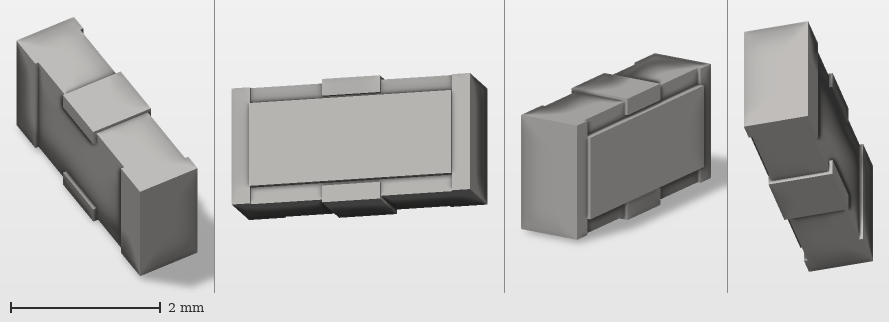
import cadquery as cq

LENGTH = 3.3
DEPTH = 0.94
HEIGHT = 1.7

METAL = 0.05
COATING_STEP = 0.05

END_FRONT_FLANGE = 0.508
END_REAR_FLANGE = 0.25

SIDE_WIDTH = 0.805
SIDE_FLANGE = 0.23

COATING_HEIGHT = 1.142

CORE_LENGTH = LENGTH - 2 * METAL
CORE_DEPTH = DEPTH - 2 * METAL - COATING_STEP
CORE_HEIGHT = HEIGHT - 2 * METAL

COATING_LENGTH = LENGTH - 2 * END_REAR_FLANGE
COATING_THICKNESS = METAL + COATING_STEP

TERMINAL_DEPTH = CORE_DEPTH + 2 * METAL
CORE_REAR = CORE_DEPTH / 2
TERMINAL_REAR = TERMINAL_DEPTH / 2


def make_core():
    return cq.Workplane("XY").box(CORE_LENGTH, CORE_DEPTH, CORE_HEIGHT)


def make_coating():
    """Flat protective layer on the rear (+Y) face of the core."""
    return cq.Workplane("XY").box(COATING_LENGTH, COATING_THICKNESS, COATING_HEIGHT).translate(
        (0, CORE_REAR + COATING_THICKNESS / 2, 0)
    )


def channel_profile(plane, outer, front_flange, rear_flange):
    """C-shaped outline opening toward the core, drawn as (outward distance, Y)."""
    inner = outer - METAL
    front_tip = outer - front_flange
    rear_tip = outer - rear_flange
    return cq.Workplane(plane).polyline(
        [
            (front_tip, -TERMINAL_REAR),
            (outer, -TERMINAL_REAR),
            (outer, TERMINAL_REAR),
            (rear_tip, TERMINAL_REAR),
            (rear_tip, CORE_REAR),
            (inner, CORE_REAR),
            (inner, -CORE_REAR),
            (front_tip, -CORE_REAR),
        ]
    ).close()


def make_end_terminal(side):
    """Terminal wrapped around the +X (side = 1) or -X (side = -1) end."""
    profile = channel_profile("XY", LENGTH / 2, END_FRONT_FLANGE, END_REAR_FLANGE)
    terminal = profile.extrude(CORE_HEIGHT / 2, both=True)
    return terminal if side > 0 else terminal.mirror("YZ")


def make_side_terminal(side):
    """Terminal wrapped around the +Z (side = 1) or -Z (side = -1) face."""
    profile = channel_profile("ZY", HEIGHT / 2, SIDE_FLANGE, SIDE_FLANGE)
    terminal = profile.extrude(SIDE_WIDTH / 2, both=True)
    return terminal if side > 0 else terminal.mirror("XY")


core = make_core()
coating = make_coating()
end_terminals = [make_end_terminal(side).val() for side in (-1, 1)]
side_terminals = [make_side_terminal(side).val() for side in (-1, 1)]

result = cq.Compound.makeCompound([core.val(), coating.val(), *end_terminals, *side_terminals])